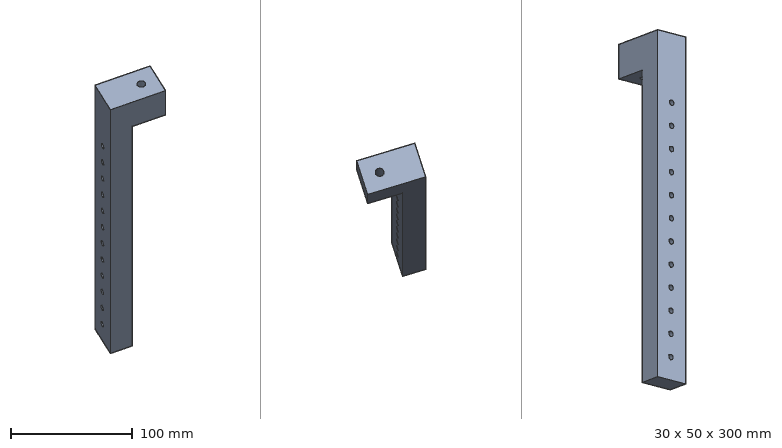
import cadquery as cq

bar_height = 300.0
width = 30.0
bar_depth = 60 / 3

block_depth = 30.0
block_height = 30.0
block_hole_diameter = 7.0

row_hole_diameter = 4.5
row_hole_count = 12
row_pitch = 60 / 3
row_top_drop = 60.0
row_top_x = 0.0
row_bottom_x = -1.0


def box(depth, height, front_y, bottom_z):
    """Full-width box with its front lower edge at front_y, bottom_z."""
    return (
        cq.Workplane("XY")
        .box(width, depth, height, centered=(True, False, False))
        .translate((0, front_y, bottom_z))
    )


def row_holes():
    """Cylinders along Y; the row leans slightly from the vertical."""
    step_x = (row_bottom_x - row_top_x) / (row_hole_count - 1)
    top_z = bar_height - row_top_drop
    centres = [
        (row_top_x + i * step_x, top_z - i * row_pitch)
        for i in range(row_hole_count)
    ]
    return (
        cq.Workplane("XZ")
        .pushPoints(centres)
        .circle(row_hole_diameter / 2)
        .extrude(-bar_depth)
    )


def block_hole():
    """Vertical cylinder through the centre of the block."""
    return (
        cq.Workplane("XY", origin=(0, bar_depth + block_depth / 2, bar_height))
        .circle(block_hole_diameter / 2)
        .extrude(-block_height)
    )


bar = box(bar_depth, bar_height, 0, 0)
block = box(block_depth, block_height, bar_depth, bar_height - block_height)
result = bar.union(block).cut(row_holes()).cut(block_hole())